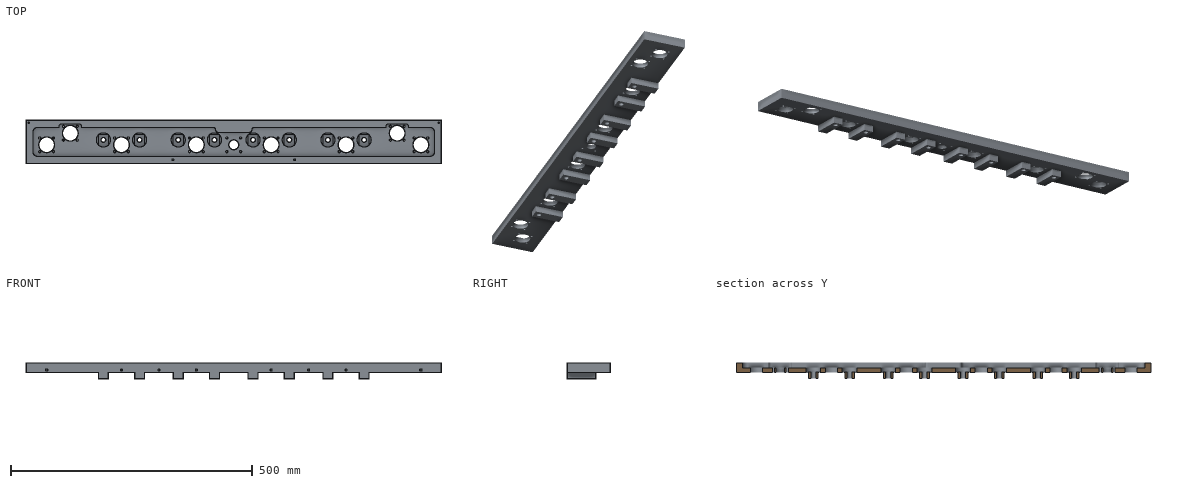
import cadquery as cq
import math

length = 860.0
width = 90.0
overall_height = 33.2
boss_height = 13.2
plate_thickness = overall_height - boss_height
half_width = width / 2

station_count = 6
station_pitch = 155.0
station_xs = [station_pitch * (i - (station_count - 1) / 2) for i in range(station_count)]
station_y = -6.0

recess_length = 832.0
recess_width = 60.0
recess_depth = 10.0
recess_corner_radius = 10.0
floor_z = plate_thickness - recess_depth

land_length = 75.0
land_width = 10.0
land_corner_radius = 4.95

opening_diameter = 32.0
screw_circle_diameter = 40.0
screw_spacing = screw_circle_diameter / math.sqrt(2)
screw_diameter = 4.0
rear_opening_x = 338.5
rear_opening_y = 18.0

notch_length = 47.0
notch_reach_y = 37.0
notch_corner_radius = 5.0

centre_diameter = 20.0

bolt_pair_spacing = 75.0
bolt_y = 4.2
bolt_diameter = 9.5
counterbore_diameter = 29.5
counterbore_depth = 8.0
boss_length = 21.0
boss_width = 60.0

rim_hole_diameter = 4.0
rim_hole_depth = 10.0
corner_hole_diameter = 2.5
rim_holes_x = 126.0
rim_holes_y = -37.0
corner_hole_inset = 5.5
end_edge_hole_diameter = 5.0
edge_hole_diameter = 4.2
edge_hole_depth = 15.0
edge_hole_z = 5.3

bolt_xs = [
    x + side * bolt_pair_spacing / 2
    for x in station_xs[1:-1]
    for side in (-1, 1)
]


def cylinder(diameter, x, y, bottom_z, top_z):
    """Upright cylinder between two heights."""
    return cq.Workplane("XY", origin=(x, y, bottom_z)).circle(diameter / 2).extrude(top_z - bottom_z)


def block(x_size, y_min, y_max, bottom_z, top_z, x=0.0):
    """Box centred on x, spanning the given Y and Z ranges."""
    return cq.Workplane("XY", origin=(x, (y_min + y_max) / 2, bottom_z)).box(
        x_size, y_max - y_min, top_z - bottom_z, centered=(True, True, False)
    )


def make_body():
    """Plate with a row of bosses flush with its front edge."""
    body = block(length, -half_width, half_width, 0, plate_thickness)
    for x in bolt_xs:
        body = body.union(block(boss_length, -half_width, boss_width - half_width, -boss_height, 0, x))
    return body


def make_recess():
    """Rounded recess, narrowed by the central land and widened by the two notches."""
    recess = block(recess_length, -recess_width / 2, recess_width / 2, floor_z, plate_thickness)
    recess = recess.edges("|Z").fillet(recess_corner_radius)
    land_front_y = recess_width / 2 - land_width
    land = block(land_length, land_front_y, half_width, floor_z, plate_thickness)
    recess = recess.cut(land)
    land_zone = cq.selectors.BoxSelector((-land_length, 0, 0), (land_length, half_width, plate_thickness))
    recess = recess.edges("|Z").edges(land_zone).fillet(land_corner_radius)
    for x in (-rear_opening_x, rear_opening_x):
        notch = block(notch_length, 0, notch_reach_y, floor_z, plate_thickness, x)
        recess = recess.union(notch.edges("|Z and >Y").fillet(notch_corner_radius))
    return recess


def drill_with_screws(body, x, y, diameter):
    """Through hole in the recess floor with four screw holes on a circle around it."""
    body = body.cut(cylinder(diameter, x, y, 0, floor_z))
    for side_x in (-1, 1):
        for side_y in (-1, 1):
            screw_x = x + side_x * screw_spacing / 2
            screw_y = y + side_y * screw_spacing / 2
            body = body.cut(cylinder(screw_diameter, screw_x, screw_y, 0, floor_z))
    return body


def drill_openings(body):
    """All round openings and the centre hole."""
    centres = [(x, station_y) for x in station_xs]
    centres += [(-rear_opening_x, rear_opening_y), (rear_opening_x, rear_opening_y)]
    for x, y in centres:
        body = drill_with_screws(body, x, y, opening_diameter)
    return drill_with_screws(body, 0, station_y, centre_diameter)


def drill_bolts(body):
    """Counterbored bolt holes through the bosses."""
    for x in bolt_xs:
        body = body.cut(cylinder(bolt_diameter, x, bolt_y, -boss_height, floor_z))
        body = body.cut(cylinder(counterbore_diameter, x, bolt_y, floor_z - counterbore_depth, floor_z))
    return body


def drill_rim(body):
    """Blind holes in the top of the rim."""
    corner_x = length / 2 - corner_hole_inset
    corner_y = half_width - corner_hole_inset
    bottom_z = plate_thickness - rim_hole_depth
    for side in (-1, 1):
        body = body.cut(cylinder(rim_hole_diameter, side * rim_holes_x, rim_holes_y, bottom_z, plate_thickness))
        body = body.cut(cylinder(corner_hole_diameter, side * corner_x, corner_y, bottom_z, plate_thickness))
    return body


def drill_front_edge(body):
    """Blind holes in the front edge, larger at the two end stations."""
    inner_xs = [x for x in station_xs[1:-1]] + [-station_pitch, station_pitch]
    diameters = {x: edge_hole_diameter for x in inner_xs}
    diameters[station_xs[0]] = end_edge_hole_diameter
    diameters[station_xs[-1]] = end_edge_hole_diameter
    for x, diameter in diameters.items():
        start = cq.Workplane("XZ", origin=(x, -half_width, edge_hole_z))
        body = body.cut(start.circle(diameter / 2).extrude(-edge_hole_depth))
    return body


result = make_body().cut(make_recess())
result = drill_openings(result)
result = drill_bolts(result)
result = drill_rim(result)
result = drill_front_edge(result)